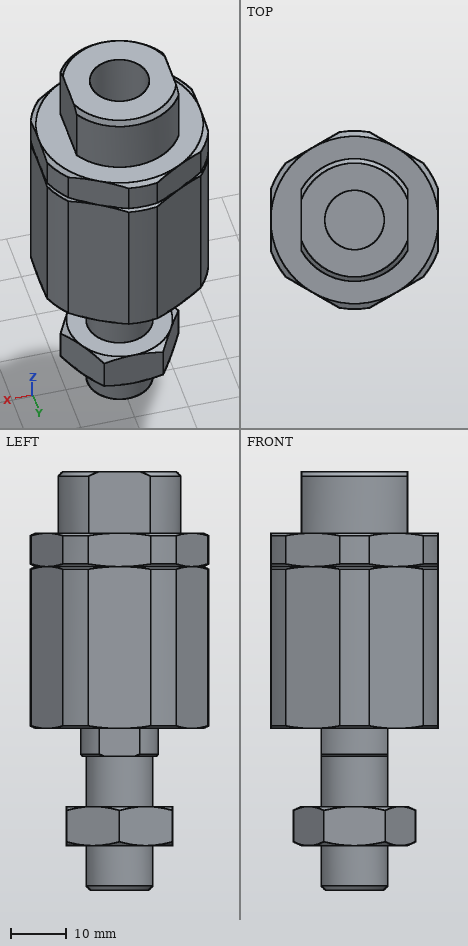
import cadquery as cq
import math

COLLAR_BOTTOM = 24.0
HOUSING_BOTTOM = 29.0
LOCK_RING_BOTTOM = 58.0
BOSS_BOTTOM = 64.0
TOTAL_HEIGHT = 75.0

HOUSING_FLATS = 30.0
HOUSING_DIAMETER = 32.0
HEX_CHAMFER_ANGLE = 25.0
HOUSING_TURN = 30.0

BOSS_DIAMETER = 22.0
BOSS_FLATS = 19.0
BOSS_CHAMFER = 0.8
HOLE_DIAMETER = 10.65
HOLE_DEPTH = TOTAL_HEIGHT - LOCK_RING_BOTTOM

STUD_DIAMETER = 12.0
STUD_CHAMFER = 0.8
COLLAR_DIAMETER = 14.0
COLLAR_FLATS = STUD_DIAMETER
COLLAR_CHAMFER = 0.4

NUT_BOTTOM = 8.0
NUT_HEIGHT = 7.0
NUT_FLATS = 19.0


def corner_diameter(flats):
    """Diameter across the corners of a hexagon."""
    return flats / math.cos(math.pi / 6)


def turned_blank(bottom, height, diameter, chamfer_width, chamfer_height, top=True, lower=True):
    """Cylinder on the Z axis with conical chamfers at the chosen ends."""
    blank = cq.Workplane("XY").workplane(offset=bottom).circle(diameter / 2).extrude(height)
    if top:
        blank = blank.faces(">Z").edges().chamfer(chamfer_height, chamfer_width)
    if lower:
        blank = blank.faces("<Z").edges().chamfer(chamfer_height, chamfer_width)
    return blank


def hexagon_body(bottom, height, flats, diameter, turn):
    """Hexagonal prism trimmed by a turned blank whose end faces are as wide as the flats."""
    chamfer_width = (diameter - flats) / 2
    chamfer_height = chamfer_width * math.tan(math.radians(HEX_CHAMFER_ANGLE))
    prism = (
        cq.Workplane("XY")
        .workplane(offset=bottom)
        .polygon(6, corner_diameter(flats))
        .extrude(height)
        .rotate((0, 0, 0), (0, 0, 1), turn)
    )
    return prism.intersect(turned_blank(bottom, height, diameter, chamfer_width, chamfer_height))


def two_flats(body, bottom, height, flats, diameter):
    """Cut a pair of parallel flats facing -X and +X."""
    slab = (
        cq.Workplane("XY")
        .workplane(offset=bottom)
        .rect(flats, 2 * diameter)
        .extrude(height)
    )
    return body.intersect(slab)


def make_boss():
    height = TOTAL_HEIGHT - BOSS_BOTTOM
    body = turned_blank(BOSS_BOTTOM, height, BOSS_DIAMETER, BOSS_CHAMFER, BOSS_CHAMFER, lower=False)
    return two_flats(body, BOSS_BOTTOM, height, BOSS_FLATS, BOSS_DIAMETER)


def make_collar():
    height = HOUSING_BOTTOM - COLLAR_BOTTOM
    body = turned_blank(
        COLLAR_BOTTOM, height, COLLAR_DIAMETER, COLLAR_CHAMFER, COLLAR_CHAMFER, top=False
    )
    return two_flats(body, COLLAR_BOTTOM, height, COLLAR_FLATS, COLLAR_DIAMETER)


def make_stud():
    return turned_blank(0, COLLAR_BOTTOM, STUD_DIAMETER, STUD_CHAMFER, STUD_CHAMFER, top=False)


def make_hole():
    return (
        cq.Workplane("XY")
        .workplane(offset=TOTAL_HEIGHT - HOLE_DEPTH)
        .circle(HOLE_DIAMETER / 2)
        .extrude(HOLE_DEPTH)
    )


housing = hexagon_body(
    HOUSING_BOTTOM, LOCK_RING_BOTTOM - HOUSING_BOTTOM, HOUSING_FLATS, HOUSING_DIAMETER, HOUSING_TURN
)
lock_ring = hexagon_body(
    LOCK_RING_BOTTOM, BOSS_BOTTOM - LOCK_RING_BOTTOM, HOUSING_FLATS, HOUSING_DIAMETER, HOUSING_TURN
)
nut = hexagon_body(NUT_BOTTOM, NUT_HEIGHT, NUT_FLATS, corner_diameter(NUT_FLATS), 0)

result = make_stud()
for section in (nut, make_collar(), housing, lock_ring, make_boss()):
    result = result.union(section)
result = result.cut(make_hole())